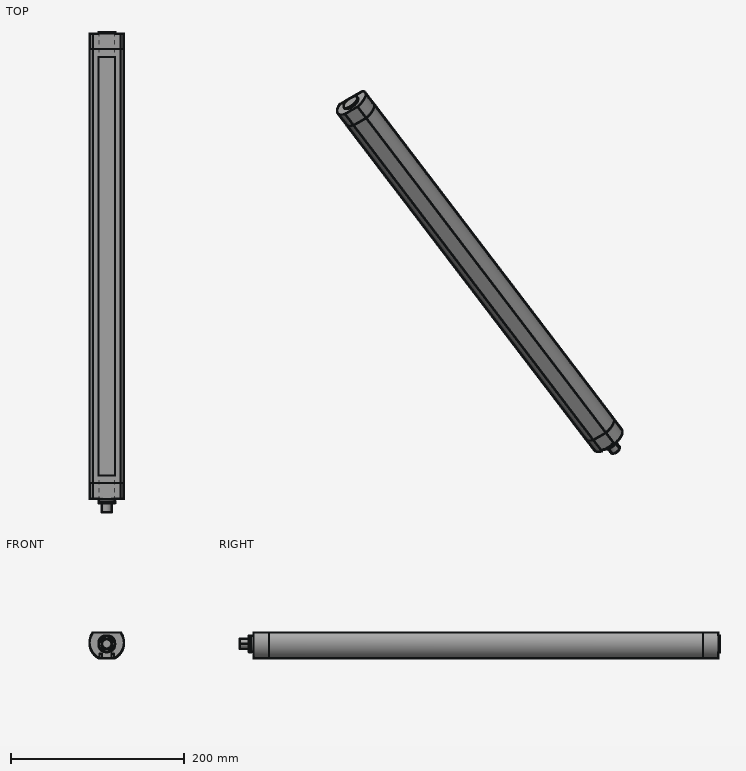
import cadquery as cq
import math

round_radius = 19.96
top_height = 12.0
base_depth = 17.95

overall_length = 553.0
connector_length = 10.4
collar_length = 2.6
neck_length = 2.8
plug_length = 1.7
cap_length = 18.0
cap_inset = 0.1

fitting_height = -1.2
connector_radius = 6.0
connector_chamfer = 0.6
collar_radius = 9.8
collar_chamfer = 0.9
neck_radius = 9.4
plug_radius = 9.8

key_width = 1.0
key_depth = 0.8
key_length = 8.5

notch_width = 3.0
notch_spacing = 13.6
notch_depth = 1.0
notch_centre_height = -13.8

window_width = 19.0
window_margin = 9.0
window_depth = 0.3

collar_start = connector_length
neck_start = collar_start + collar_length
bar_start = neck_start + neck_length
bar_end = overall_length - plug_length
body_start = bar_start + cap_length
body_end = bar_end - cap_length


def bar_piece(start, end, inset=0.0):
    """Length of the bar section between two Y positions, shrunk by inset all round."""
    radius = round_radius - inset
    top = top_height - inset
    base = inset - base_depth
    top_half = math.sqrt(radius**2 - top**2)
    base_half = math.sqrt(radius**2 - base**2)
    return (
        cq.Workplane("XZ", origin=(0, start, 0))
        .moveTo(-base_half, base)
        .lineTo(base_half, base)
        .threePointArc((radius, 0), (top_half, top))
        .lineTo(-top_half, top)
        .threePointArc((-radius, 0), (-base_half, base))
        .close()
        .extrude(start - end)
    )


def disc(start, end, radius):
    """Round piece on the fitting axis between two Y positions."""
    return cq.Workplane("XZ", origin=(0, start, fitting_height)).circle(radius).extrude(start - end)


def window_recess():
    """Shallow rectangular recess along the top of the body."""
    length = body_end - body_start - 2 * window_margin
    middle = (body_start + body_end) / 2
    floor = top_height - window_depth
    return cq.Workplane("XY", origin=(0, middle, floor)).rect(window_width, length).extrude(window_depth)


def key_slots():
    """Pair of axial slots cut into the left and right flanks of the connector."""
    return (
        cq.Workplane("XZ", origin=(0, 0, fitting_height))
        .pushPoints([(-connector_radius, 0), (connector_radius, 0)])
        .rect(2 * key_depth, key_width)
        .extrude(-key_length)
    )


def connector():
    """Keyed plug with its chamfered collar and the neck behind it."""
    plug = disc(0, collar_start, connector_radius).faces("<Y").chamfer(connector_chamfer)
    collar = disc(collar_start, neck_start, collar_radius).faces("<Y").chamfer(collar_chamfer)
    neck = disc(neck_start, bar_start, neck_radius)
    return plug.cut(key_slots()).union(collar).union(neck)


def screw_notch(centre):
    """Shallow round-topped notch in the front end face, running out through the base."""
    half_width = notch_width / 2
    return (
        cq.Workplane("XZ", origin=(centre, bar_start, 0))
        .moveTo(-half_width, -base_depth)
        .lineTo(half_width, -base_depth)
        .lineTo(half_width, notch_centre_height)
        .threePointArc((0, notch_centre_height + half_width), (-half_width, notch_centre_height))
        .close()
        .extrude(-notch_depth)
    )


body = bar_piece(body_start, body_end).cut(window_recess())
front_cap = bar_piece(bar_start, body_start, cap_inset)
for notch_centre in (-notch_spacing / 2, notch_spacing / 2):
    front_cap = front_cap.cut(screw_notch(notch_centre))
rear_cap = bar_piece(body_end, bar_end, cap_inset)
blanking_plug = disc(bar_end, overall_length, plug_radius)

result = body.union(front_cap).union(rear_cap).union(blanking_plug).union(connector())